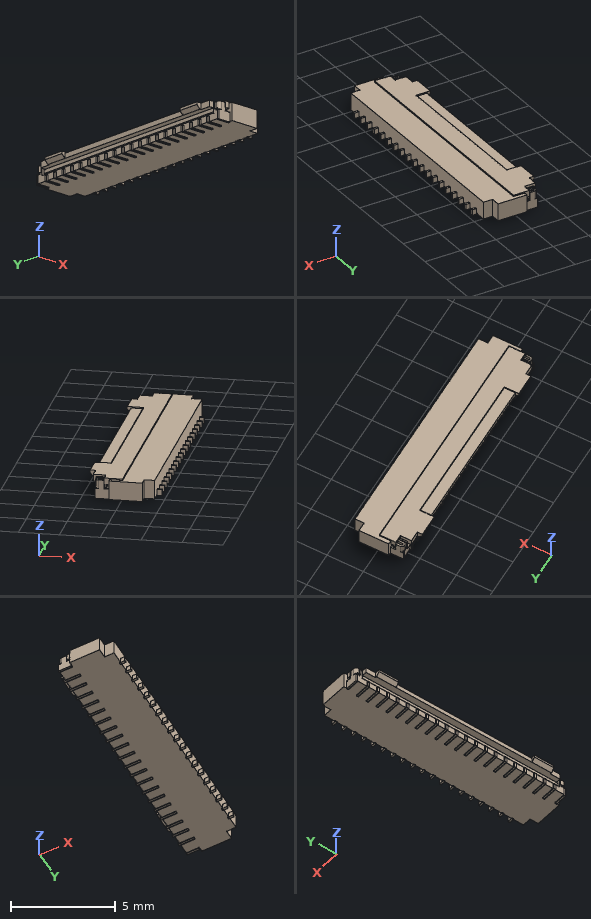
import cadquery as cq


top_z = 1.05
roof_z = 0.99
base_z = 0.04

front_x = 0.45
shoulder_x = 1.16
rear_step_x = 2.8
rear_x = 3.31
half_length = 6.6
front_half = 6.43
rear_half = 6.1

mouth_half = 6.03
mouth_back_x = 0.55
mouth_floor_z = 0.4
slot_half = 5.87
slot_height = 0.12
slot_end_x = 1.8
undercut_x = 0.66

lid_bottom_z = 0.71
lid_half = 6.39
lid_rear_x = 1.8
lid_front_x = 0.28
lid_notch_x = 0.88
lid_notch_half = 5.94
tab_half = 5.36
tab_inner_half = 4.16
tab_chamfer = 0.2
recess_front_x = 0.2
recess_rear_x = 0.8
pivot_x = 0.92
pivot_width = 0.08
pivot_bottom_z = 0.58

nail_thickness = 0.1
bend_outer_radius = 0.16
bend_front_x = 0.46
nail_shelf_z = 0.51
nail_top_z = 0.95
pocket_floor_z = 0.6
pocket_half = front_half - 2 * bend_outer_radius
plate_inner_half = front_half - nail_thickness

front_count = 20
rear_count = front_count - 1
rear_row_length = 10.8
pitch = rear_row_length / (rear_count - 1)
contact_width = 0.12
contact_height = 0.32
front_contact_x = (0.37, 1.25)
rear_contact_x = (3.26, 3.55)


def block(x_range, y_range, z_range):
    """Box spanning the given ranges."""
    (x0, x1), (y0, y1), (z0, z1) = x_range, y_range, z_range
    return cq.Workplane("XY").box(x1 - x0, y1 - y0, z1 - z0, centered=False).translate((x0, y0, z0))


def centred_block(x_range, half_width, z_range):
    """Box spanning Y from -half_width to half_width."""
    return block(x_range, (-half_width, half_width), z_range)


def both_ends(shape):
    """The shape together with its mirror image at the other end of the connector."""
    return shape.union(shape.mirror("XZ"))


def make_shell():
    roof = (base_z, roof_z)
    shell = centred_block((front_x, rear_step_x), front_half, roof)
    shell = shell.union(centred_block((shoulder_x, rear_step_x), half_length, roof))
    shell = shell.union(centred_block((rear_step_x, rear_x), rear_half, roof))

    shell = shell.cut(centred_block((front_x, lid_notch_x), mouth_half, (lid_bottom_z, roof_z)))

    shell = shell.cut(centred_block((front_x, mouth_back_x), mouth_half, (mouth_floor_z, lid_bottom_z)))
    slot_z = (mouth_floor_z, mouth_floor_z + slot_height)
    shell = shell.cut(centred_block((front_x, undercut_x), mouth_half, slot_z))
    shell = shell.cut(centred_block((front_x, slot_end_x), slot_half, slot_z))

    pocket_y = (pocket_half, front_half)
    shell = shell.cut(both_ends(block((front_x, lid_notch_x), pocket_y, (pocket_floor_z, roof_z))))
    plate_y = (plate_inner_half, front_half)
    shell = shell.cut(both_ends(block((front_x, lid_notch_x), plate_y, (nail_shelf_z, roof_z))))
    return shell.cut(both_ends(block((lid_notch_x, shoulder_x), pocket_y, (nail_shelf_z, roof_z))))


def make_lid():
    body_z = (lid_bottom_z, top_z)
    lid = centred_block((lid_notch_x, shoulder_x), lid_half, body_z)
    lid = lid.union(centred_block((shoulder_x, lid_rear_x), lid_half, (roof_z, top_z)))
    lid = lid.union(centred_block((lid_front_x, lid_notch_x), lid_notch_half, body_z))
    tabs = centred_block((0, lid_front_x), tab_half, body_z)
    tabs = tabs.edges("<X and <Z").chamfer(tab_chamfer)
    lid = lid.union(tabs)

    lid = lid.cut(centred_block((0, recess_front_x), tab_inner_half, body_z))
    lid = lid.cut(centred_block((recess_front_x, recess_rear_x), tab_inner_half, (roof_z, top_z)))

    pivot = block((pivot_x, pivot_x + pivot_width), (pocket_half, lid_half), (pivot_bottom_z, lid_bottom_z))
    return lid.union(both_ends(pivot))


def make_contact_row(count, x_range):
    height = (0, contact_height)
    contact = centred_block(x_range, contact_width / 2, height)
    row_start = -(count - 1) * pitch / 2
    row = cq.Workplane("XY")
    for index in range(count):
        row = row.add(contact.translate((0, row_start + index * pitch, 0)))
    return row.combine()


def make_nail():
    """Nail of the +Y end: a foot plate whose upper arm is bent back on itself in a U."""
    plate_y = (plate_inner_half, front_half)
    foot = block((front_x, shoulder_x), plate_y, (0, nail_shelf_z))

    bend_x = bend_front_x + bend_outer_radius
    bend_y = front_half - bend_outer_radius
    inner_radius = bend_outer_radius - nail_thickness
    bend = (
        cq.Workplane("XY", origin=(0, 0, nail_shelf_z))
        .moveTo(lid_notch_x, front_half)
        .lineTo(bend_x, front_half)
        .threePointArc((bend_front_x, bend_y), (bend_x, pocket_half))
        .lineTo(lid_notch_x, pocket_half)
        .lineTo(lid_notch_x, pocket_half + nail_thickness)
        .lineTo(bend_x, pocket_half + nail_thickness)
        .threePointArc((bend_x - inner_radius, bend_y), (bend_x, plate_inner_half))
        .lineTo(lid_notch_x, plate_inner_half)
        .close()
        .extrude(nail_top_z - nail_shelf_z)
    )
    return foot.union(bend)


nail = make_nail()
nails = [nail, nail.mirror("XZ")]

housing = make_shell().union(make_lid())
housing = housing.union(make_contact_row(front_count, front_contact_x))
housing = housing.union(make_contact_row(rear_count, rear_contact_x))
for seated_nail in nails:
    housing = housing.cut(seated_nail)

result = cq.Compound.makeCompound([housing.val(), *[each.val() for each in nails]])